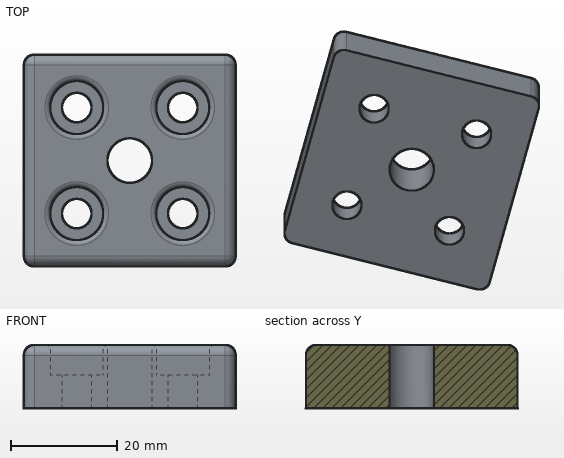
import cadquery as cq

side = 40.0
height = 12.0
edge_radius = 2.0

hole_spacing = side / 2
screw_diameter = 5.5
counterbore_diameter = 10.0
counterbore_depth = 5.7
rim_radius = 1.0

center_diameter = 8.35


def rounded_block():
    """Block standing on Z = 0 with rounded upright and top edges and a sharp bottom."""
    block = cq.Workplane("XY").box(side, side, height, centered=(True, True, False))
    return block.edges("|Z").fillet(edge_radius).faces(">Z").edges().fillet(edge_radius)


def screw_hole_cutter():
    """Through hole, flat counterbore and convex rim rounding, revolved about Z."""
    screw_r = screw_diameter / 2
    bore_r = counterbore_diameter / 2
    rim_r = bore_r + rim_radius
    floor_z = height - counterbore_depth
    rim_z = height - rim_radius
    return (
        cq.Workplane("XZ")
        .lineTo(screw_r, 0)
        .lineTo(screw_r, floor_z)
        .lineTo(bore_r, floor_z)
        .lineTo(bore_r, rim_z)
        .radiusArc((rim_r, height), rim_radius)
        .lineTo(0, height)
        .close()
        .revolve(360, (0, 0, 0), (0, 1, 0))
    )


result = rounded_block()
result = result.cut(cq.Workplane("XY").circle(center_diameter / 2).extrude(height))

for x in (-hole_spacing / 2, hole_spacing / 2):
    for y in (-hole_spacing / 2, hole_spacing / 2):
        result = result.cut(screw_hole_cutter().translate((x, y, 0)))